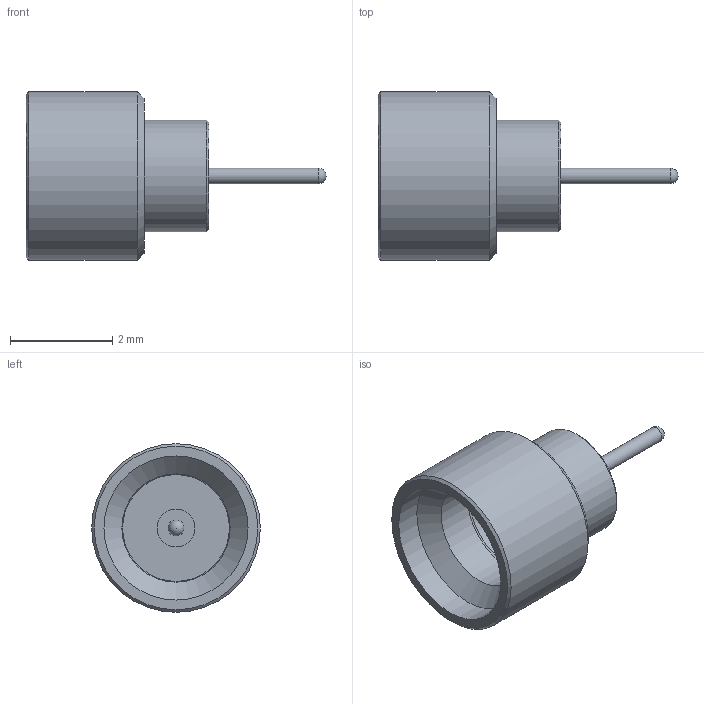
import cadquery as cq
import math

ORIGIN = (0, 0, 0)
X_DIRECTION = (1, 0, 0)
FULL_TURN = 360

shell_radius = 1.65
shell_length = 2.31
front_chamfer = 0.05
rear_chamfer = 0.13

barrel_radius = 1.09
barrel_end = 3.58
barrel_chamfer = 0.05

mouth_radius = 1.41
mouth_depth = 0.50
bore_radius = 1.06
taper_depth = 0.32
land_start = 1.555
land_taper_length = 0.035
land_radius = 1.045
socket_depth = 2.00

pin_radius = 0.155
pin_tip = 5.87
pin_start = 1.20

recess_radius = 0.37
recess_depth = 0.05


def cylinder(radius, start, end):
    """Solid cylinder on the X axis between two X positions."""
    return cq.Workplane("YZ").workplane(offset=start).circle(radius).extrude(end - start)


def make_body():
    shell = cylinder(shell_radius, 0, shell_length)
    shell = shell.faces("<X").chamfer(front_chamfer)
    shell = shell.faces(">X").chamfer(rear_chamfer)
    barrel = cylinder(barrel_radius, shell_length, barrel_end)
    barrel = barrel.faces(">X").chamfer(barrel_chamfer)
    return shell.union(barrel)


def make_socket():
    """Volume removed from the mating face."""
    profile = [
        (0, 0),
        (0, mouth_radius),
        (mouth_depth, mouth_radius),
        (mouth_depth + taper_depth, bore_radius),
        (land_start, bore_radius),
        (land_start + land_taper_length, land_radius),
        (socket_depth, land_radius),
        (socket_depth, recess_radius),
        (socket_depth + recess_depth, recess_radius),
        (socket_depth + recess_depth, 0),
    ]
    return cq.Workplane("XY").polyline(profile).close().revolve(FULL_TURN, ORIGIN, X_DIRECTION)


def make_pin():
    diagonal = pin_radius * math.sqrt(0.5)
    front_center = pin_start + pin_radius
    rear_center = pin_tip - pin_radius
    return (
        cq.Workplane("XY")
        .moveTo(pin_start, 0)
        .threePointArc((front_center - diagonal, diagonal), (front_center, pin_radius))
        .lineTo(rear_center, pin_radius)
        .threePointArc((rear_center + diagonal, diagonal), (pin_tip, 0))
        .close()
        .revolve(FULL_TURN, ORIGIN, X_DIRECTION)
    )


result = make_body().cut(make_socket()).union(make_pin())